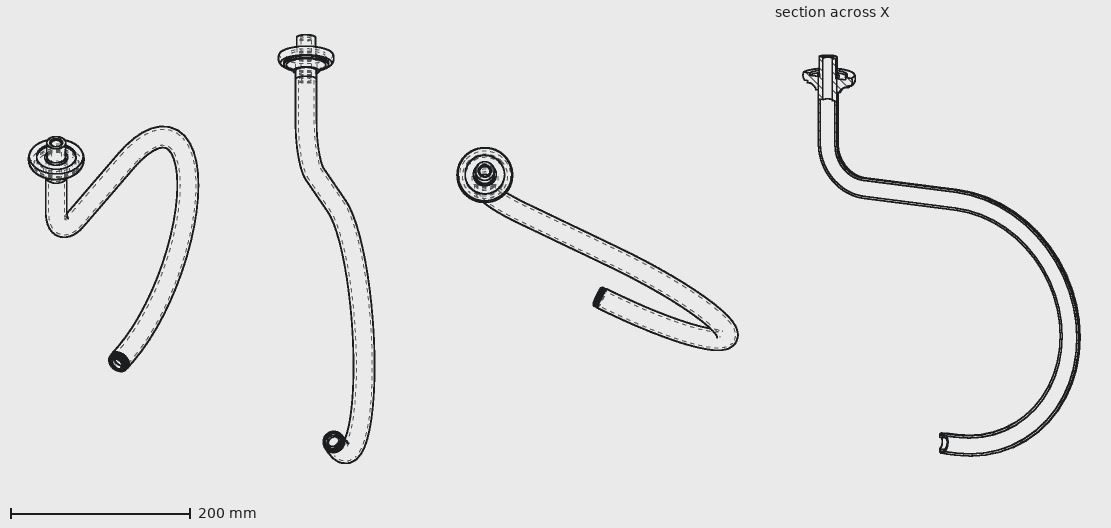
import cadquery as cq

pipe_radius = 12.0
pipe_bore_radius = 9.0

elbow_radius = 45.0
hook_radius = 141.0
run_z = -145.5
hook_start_y = 159.0
pipe_top_z = -49.0
pipe_end_z = run_z - 2 * hook_radius

nipple_radius = 10.5
inlet_bore_radius = 5.5
inlet_chamfer = 1.5

flange_radius = 30.95
flange_top_radius = 30.0
flange_top_z = -20.0
rim_widest_z = -24.0
rim_bottom_radius = 28.5
rim_bottom_z = -30.0
step_radius = 25.0
step_bottom_z = -32.0
cone_top_radius = 22.0
neck_radius = 14.5
neck_z = -39.0
recess_radius = 22.0
recess_depth = 2.5
recess_z = flange_top_z - recess_depth
cone_bow = 1.0

seal_section_radius = 1.5
seal_outer_radius = 12.7
seal_z = recess_z + seal_section_radius
seal_center_radius = seal_outer_radius - seal_section_radius

sleeve_start_y = 145.0
sleeve_end_y = 138.7
sleeve_radius = 11.5
sleeve_chamfer = 1.5
groove_width = 1.0
groove_depth = 0.5
groove_pitch = 1.8
groove_count = 2
insert_outer_radius = 9.0
insert_bore_radius = 6.5


def pipe_path():
    """Centreline: inlet drop, elbow, straight run, half-circle hook and outlet."""
    hook_middle = (hook_start_y + hook_radius, run_z - hook_radius)
    return (
        cq.Workplane("YZ")
        .moveTo(0, pipe_top_z)
        .lineTo(0, run_z + elbow_radius)
        .radiusArc((elbow_radius, run_z), -elbow_radius)
        .lineTo(hook_start_y, run_z)
        .threePointArc(hook_middle, (hook_start_y, pipe_end_z))
        .lineTo(sleeve_start_y, pipe_end_z)
    )


def swept_rod(radius):
    profile = cq.Workplane("XY", origin=(0, 0, pipe_top_z)).circle(radius)
    return profile.sweep(pipe_path())


def make_pipe():
    return swept_rod(pipe_radius).cut(swept_rod(pipe_bore_radius))


def make_connector():
    """Inlet nipple with a wider collar flush with the pipe below it."""
    return (
        cq.Workplane("XZ")
        .moveTo(inlet_bore_radius + inlet_chamfer, 0)
        .lineTo(nipple_radius, 0)
        .lineTo(nipple_radius, recess_z)
        .lineTo(pipe_radius, recess_z)
        .lineTo(pipe_radius, pipe_top_z)
        .lineTo(inlet_bore_radius, pipe_top_z)
        .lineTo(inlet_bore_radius, -inlet_chamfer)
        .close()
        .revolve(360, (0, 0, 0), (0, 1, 0))
        .cut(make_seal())
    )


def make_seal():
    """Round-section ring seated in a groove of the nipple."""
    return (
        cq.Workplane("XZ")
        .center(seal_center_radius, seal_z)
        .circle(seal_section_radius)
        .revolve(360, (-seal_center_radius, 0, 0), (-seal_center_radius, 1, 0))
    )


def make_flange():
    """Rounded rim, step and hollow-sided cone, recessed on the wall side."""
    cone_middle = (
        (cone_top_radius + neck_radius) / 2 - cone_bow,
        (step_bottom_z + neck_z) / 2 + cone_bow,
    )
    return (
        cq.Workplane("XZ")
        .moveTo(recess_radius, flange_top_z)
        .lineTo(flange_top_radius, flange_top_z)
        .threePointArc((flange_radius, rim_widest_z), (rim_bottom_radius, rim_bottom_z))
        .lineTo(step_radius, rim_bottom_z)
        .lineTo(step_radius, step_bottom_z)
        .lineTo(cone_top_radius, step_bottom_z)
        .threePointArc(cone_middle, (neck_radius, neck_z))
        .lineTo(pipe_radius, neck_z)
        .lineTo(pipe_radius, recess_z)
        .lineTo(recess_radius, recess_z)
        .close()
        .revolve(360, (0, 0, 0), (0, 1, 0))
    )


def outlet_cylinder(radius):
    """Cylinder along -Y filling the length of the outlet sleeve."""
    plane = cq.Workplane("XZ", origin=(0, sleeve_start_y, pipe_end_z))
    return plane.circle(radius).extrude(sleeve_start_y - sleeve_end_y)


def groove_ring(start_y):
    """Ring-shaped cutter for one grip groove, running from start_y toward -Y."""
    return (
        cq.Workplane("XZ", origin=(0, start_y, pipe_end_z))
        .circle(pipe_radius)
        .circle(sleeve_radius - groove_depth)
        .extrude(groove_width)
    )


def make_sleeve():
    """Chamfered and grooved ring that ends the pipe and holds the insert."""
    body = outlet_cylinder(sleeve_radius).faces("<Y").chamfer(sleeve_chamfer)
    for index in range(groove_count):
        body = body.cut(groove_ring(sleeve_start_y - (index + 1) * groove_pitch))
    return body.cut(outlet_cylinder(insert_outer_radius))


def make_insert():
    return outlet_cylinder(insert_outer_radius).cut(outlet_cylinder(insert_bore_radius))


pipe = make_pipe()
connector = make_connector()
seal = make_seal()
flange = make_flange()
sleeve = make_sleeve()
insert = make_insert()

result = cq.Compound.makeCompound([
    pipe.val(),
    connector.val(),
    seal.val(),
    flange.val(),
    sleeve.val(),
    insert.val(),
])